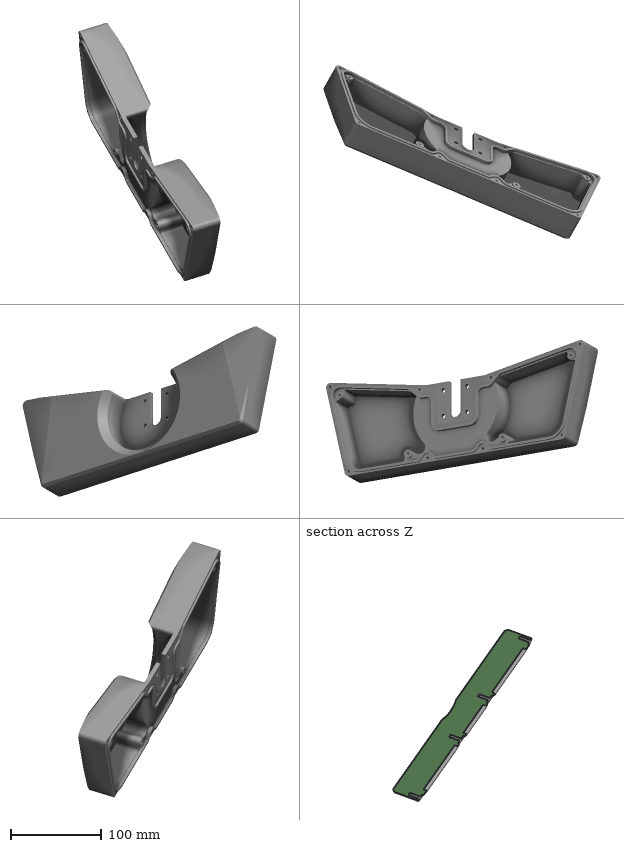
import cadquery as cq
import math

LENGTH = 327.0
HEIGHT = 112.0
CORNER_R = 5.0
TOP_X = LENGTH / 2 - CORNER_R
TOP_Z = HEIGHT - CORNER_R
BASE_X = 135.0
PLATE_TOP_Z = 90.2
PLATE_HALF_X = 37.5

BACK_LOW_Y = 32.5
BACK_HIGH_Y = 39.2
BACK_HIGH_Z = 104.5
BACK_TILT = (BACK_HIGH_Y - BACK_LOW_Y) / BACK_HIGH_Z
BEND_HIGH_X = 117.7
BACK_CHAMFER = 3.0

PLATE_THICK = 5.0
SCOOP_R = 49.0
SCOOP_Z = 59.5
SCOOP_FLARE = 8.2
SCOOP_MOUTH_R = 3.0

LIP_HEIGHT = 2.0
LIP_WIDTH = 3.0
LIP_BASE_INSET = 2.0
LIP_SIDE_INSET = 2.5
RECESS_DEPTH = 2.0
RECESS_TOP_R = 9.0
RECESS_BASE_R = 19.5
NECK_X = 29.5
NECK_Z = 34.3
NECK_R = 10.5
STEP_X = 45.0
STEP_Z = 76.0
STEP_R = 6.5
BUMP_R = 8.2
BUMP_ANGLE = 50.0
BUMP_FOOT_R = 3.3

POCKET_FLOOR_Y = 28.8
POCKET_BASE_INSET = 6.0
POCKET_SIDE_INSET = 7.0
SCOOP_WALL = 5.0
POCKET_BASE_R = 20.3
LEDGE_Z = 11.95
LEDGE_R = 5.0
LEDGE_CORNER_R = 7.2

TOP_BOSS_R = 4.3
TOP_BOSS_REACH = 12.9
TOP_BOSS_FOOT_R = 2.0
LOW_BOSS_R = 5.0
LOW_BOSS_X = 59.8
LOW_BOSS_Z = 13.9
LOW_BOSS_FOOT_R = 3.3
LOW_BOSS_SLOPE = 35.0
SCREW_R = 1.5
SCREW_DEPTH = 13.0
MID_SCREW_X = 45.0
MID_SCREW_Z = 86.3
LOW_SCREW_X = 35.0

MOUNT_R = 2.5
MOUNT_X = 15.0
MOUNT_Z = (50.7, 80.8)
SLOT_R = 7.2
SLOT_END_Z = 54.5

FAR = 654.0
TOUCHING = 3.27e-06


def prism(wires, y_start, y_end):
    """Extrude a sketch drawn on the front plane from y_start to y_end."""
    return wires.extrude(-(y_end - y_start)).translate((0, y_start, 0))


def front():
    return cq.Workplane("XZ")


def cylinder(x, z, radius, y_start, y_end):
    return prism(front().center(x, z).circle(radius), y_start, y_end)


def both_sides(solid):
    return solid.union(solid.mirror("YZ"))


def unit(a, b):
    length = math.dist(a, b)
    return ((b[0] - a[0]) / length, (b[1] - a[1]) / length)


def along(point, direction, distance):
    return (point[0] + direction[0] * distance, point[1] + direction[1] * distance)


def meet(p, u, q, v):
    """Crossing point of the lines p + s*u and q + t*v."""
    cross = u[0] * v[1] - u[1] * v[0]
    s = ((q[0] - p[0]) * v[1] - (q[1] - p[1]) * v[0]) / cross
    return along(p, u, s)


def rounded_outline(corners):
    """Closed wire through (point, radius) corners, each rounded by a tangent arc."""
    arcs = []
    for i, (point, radius) in enumerate(corners):
        to_prev = unit(point, corners[i - 1][0])
        to_next = unit(point, corners[(i + 1) % len(corners)][0])
        if radius == 0:
            arcs.append((point, None, point))
            continue
        cosine = to_prev[0] * to_next[0] + to_prev[1] * to_next[1]
        half = math.acos(cosine) / 2
        tangent = radius / math.tan(half)
        bisector = unit((0, 0), (to_prev[0] + to_next[0], to_prev[1] + to_next[1]))
        middle = along(point, bisector, radius / math.sin(half) - radius)
        arcs.append((along(point, to_prev, tangent), middle, along(point, to_next, tangent)))
    wire = front().moveTo(*arcs[0][2])
    position = arcs[0][2]
    for start, middle, end in arcs[1:] + arcs[:1]:
        if math.dist(position, start) > TOUCHING:
            wire = wire.lineTo(*start)
        position = end
        if middle is not None:
            wire = wire.threePointArc(middle, end)
    return wire.close()


TOP_CENTRE = (-TOP_X, TOP_Z)
BASE_CENTRE = (-BASE_X, CORNER_R)
BEND_CENTRE = (-PLATE_HALF_X, PLATE_TOP_Z - CORNER_R)
SIDE_DIR = unit(TOP_CENTRE, BASE_CENTRE)
SLOPE_DIR = unit(TOP_CENTRE, BEND_CENTRE)
FLAT_DIR = (1.0, 0.0)


def side_point(inset):
    return along(BASE_CENTRE, (-SIDE_DIR[1], SIDE_DIR[0]), inset - CORNER_R)


def slope_point(inset):
    return along(BEND_CENTRE, (SLOPE_DIR[1], -SLOPE_DIR[0]), inset - CORNER_R)


def top_corner(inset):
    return meet(side_point(inset), SIDE_DIR, slope_point(inset), SLOPE_DIR)


def base_corner(side_inset, base_inset):
    return meet(side_point(side_inset), SIDE_DIR, (0, base_inset), FLAT_DIR)


def mirrored(corners):
    """Add the right half to corners that run along the left half."""
    return corners + [((-x, z), radius) for (x, z), radius in reversed(corners)]


def block_under(origin, edge_a, edge_b):
    """Outline block ended at the back by one plane through two edges, with its rim chamfered."""
    centres = [point for point, _ in mirrored([(BASE_CENTRE, 0), (TOP_CENTRE, 0), (BEND_CENTRE, 0)])]
    block = prism(front().polyline(centres).close().offset2D(CORNER_R), 0, 2 * LENGTH)
    normal = edge_a.cross(edge_b)
    if normal.y < 0:
        normal = -normal
    beyond = cq.Workplane(cq.Plane(origin, edge_a, normal)).rect(FAR, FAR).extrude(2 * FAR)
    block = block.cut(beyond)
    return block.faces(cq.selectors.DirectionMinMaxSelector(normal)).edges().chamfer(BACK_CHAMFER)


def make_body():
    """Body whose back is a tilted middle plane and two outer planes falling to the ends."""
    low_x, low_z = base_corner(0, 0)
    low = cq.Vector(low_x, BACK_LOW_Y, low_z)
    bend_edge = cq.Vector(-BEND_HIGH_X, BACK_HIGH_Y, BACK_HIGH_Z) - low
    end_edge = cq.Vector(SIDE_DIR[0], 0, SIDE_DIR[1])
    middle = block_under(low, bend_edge, cq.Vector(1, 0, 0))
    left = block_under(low, bend_edge, end_edge)
    return middle.intersect(left).intersect(left.mirror("YZ"))


def cut_scoop(body):
    """Round scoop open to the top, with a rear edge flared square to the tilted back."""
    scoop = cylinder(0, SCOOP_Z, SCOOP_R, PLATE_THICK, FAR)
    back_y = BACK_LOW_Y + BACK_TILT * SCOOP_Z
    outward = cq.Vector(0, 1, -BACK_TILT).normalized()
    start = cq.Vector(0, back_y, SCOOP_Z) - outward * SCOOP_FLARE
    flare = cq.Solid.makeCone(SCOOP_R, SCOOP_R + 2 * SCOOP_FLARE, 2 * SCOOP_FLARE, start, outward)
    body = body.cut(scoop)
    mouth_x = math.sqrt(SCOOP_R**2 - (PLATE_TOP_Z - SCOOP_Z)**2)
    for side in (-1, 1):
        mouth = (side * mouth_x, BACK_LOW_Y / 2, PLATE_TOP_Z)
        body = body.edges(cq.selectors.NearestToPointSelector(mouth)).fillet(SCOOP_MOUTH_R)
    return body.cut(cq.Workplane(flare))


def recess_outline():
    bump_tan = math.tan(math.radians(BUMP_ANGLE))
    base_z = LIP_BASE_INSET + LIP_WIDTH
    side_inset = LIP_SIDE_INSET + LIP_WIDTH
    apex_z = CORNER_R + BUMP_R / math.cos(math.radians(BUMP_ANGLE))
    foot = (apex_z - base_z) / bump_tan
    step_top = meet((-STEP_X, STEP_Z), (-1, 1), slope_point(side_inset), SLOPE_DIR)
    return rounded_outline(mirrored([
        ((-LOW_SCREW_X + foot, base_z), BUMP_FOOT_R),
        ((-LOW_SCREW_X, apex_z), BUMP_R),
        ((-LOW_SCREW_X - foot, base_z), BUMP_FOOT_R),
        (base_corner(side_inset, base_z), RECESS_BASE_R),
        (top_corner(side_inset), RECESS_TOP_R),
        (step_top, STEP_R),
        ((-STEP_X, STEP_Z), STEP_R),
        ((-NECK_X, STEP_Z), STEP_R),
        ((-NECK_X, NECK_Z), NECK_R),
    ]))


def top_boss_centre():
    corner = top_corner(POCKET_SIDE_INSET)
    inward = unit((0, 0), (SIDE_DIR[0] + SLOPE_DIR[0], SIDE_DIR[1] + SLOPE_DIR[1]))
    return along(corner, inward, TOP_BOSS_REACH)


def make_pocket():
    """Left deep pocket, shaped around its two bosses and the scoop wall."""
    corner = top_corner(POCKET_SIDE_INSET)
    boss = top_boss_centre()
    side_normal = (-SIDE_DIR[1], SIDE_DIR[0])
    slope_normal = (SLOPE_DIR[1], -SLOPE_DIR[0])
    below = along(boss, SIDE_DIR, TOP_BOSS_R)
    beyond = along(boss, SLOPE_DIR, TOP_BOSS_R)
    notch_side = meet(below, side_normal, corner, SIDE_DIR)
    notch_tip = meet(below, side_normal, beyond, slope_normal)
    notch_slope = meet(beyond, slope_normal, corner, SLOPE_DIR)

    step_top = meet((-STEP_X, STEP_Z), (-1, 1), slope_point(POCKET_SIDE_INSET), SLOPE_DIR)
    fall = math.radians(LOW_BOSS_SLOPE)
    boss_top_z = LOW_BOSS_Z + LOW_BOSS_R
    shoulder_x = -LOW_BOSS_X + LOW_BOSS_R * math.tan(fall / 2)
    ledge_x = shoulder_x + (boss_top_z - LEDGE_Z) / math.tan(fall)
    boss_left_x = -LOW_BOSS_X - LOW_BOSS_R
    outline = rounded_outline([
        (base_corner(POCKET_SIDE_INSET, POCKET_BASE_INSET), POCKET_BASE_R),
        (notch_side, TOP_BOSS_FOOT_R),
        (notch_tip, TOP_BOSS_R),
        (notch_slope, TOP_BOSS_FOOT_R),
        (step_top, STEP_R),
        ((-STEP_X, STEP_Z), 0),
        ((0, STEP_Z), 0),
        ((0, LEDGE_Z), 0),
        ((ledge_x, LEDGE_Z), LEDGE_R),
        ((shoulder_x, boss_top_z), LOW_BOSS_R),
        ((boss_left_x, boss_top_z), LOW_BOSS_R),
        ((boss_left_x, POCKET_BASE_INSET), LOW_BOSS_FOOT_R),
    ])
    wall_r = SCOOP_R + SCOOP_WALL
    pocket = prism(outline, 0, POCKET_FLOOR_Y).cut(cylinder(0, SCOOP_Z, wall_r, -3.3, FAR))
    pocket = pocket.intersect(prism(front().rect(2 * LENGTH, 2 * LENGTH), -3.3, FAR))
    lower = (-math.sqrt(wall_r**2 - (SCOOP_Z - LEDGE_Z)**2), POCKET_FLOOR_Y / 2, LEDGE_Z)
    pocket = pocket.edges(cq.selectors.NearestToPointSelector(lower)).fillet(LEDGE_CORNER_R)
    return pocket


def build():
    body = cut_scoop(make_body())
    recess = prism(recess_outline(), 0, RECESS_DEPTH)
    lip = prism(recess_outline().offset2D(LIP_WIDTH), -LIP_HEIGHT, 0)
    lip = lip.cut(prism(recess_outline(), -LIP_HEIGHT, 0))
    body = body.cut(recess).union(lip)
    body = body.cut(both_sides(make_pocket()))

    top_boss = top_boss_centre()
    bosses = cylinder(*top_boss, TOP_BOSS_R, 0, POCKET_FLOOR_Y)
    bosses = bosses.union(cylinder(-LOW_BOSS_X, LOW_BOSS_Z, LOW_BOSS_R, 0, POCKET_FLOOR_Y))
    body = body.union(both_sides(bosses))

    screws = [
        TOP_CENTRE,
        BASE_CENTRE,
        (-MID_SCREW_X, MID_SCREW_Z),
        (-LOW_SCREW_X, CORNER_R),
        top_boss,
        (-LOW_BOSS_X, LOW_BOSS_Z),
    ]
    for x, z in screws:
        body = body.cut(both_sides(cylinder(x, z, SCREW_R, 0, SCREW_DEPTH)))

    for z in MOUNT_Z:
        body = body.cut(both_sides(cylinder(MOUNT_X, z, MOUNT_R, -3.3, FAR)))
    slot = cylinder(0, SLOT_END_Z, SLOT_R, -3.3, PLATE_THICK)
    slot = slot.union(
        prism(front().rect(2 * SLOT_R, HEIGHT - SLOT_END_Z), -3.3, PLATE_THICK)
        .translate((0, 0, (HEIGHT + SLOT_END_Z) / 2)))
    return body.cut(slot)


result = build()